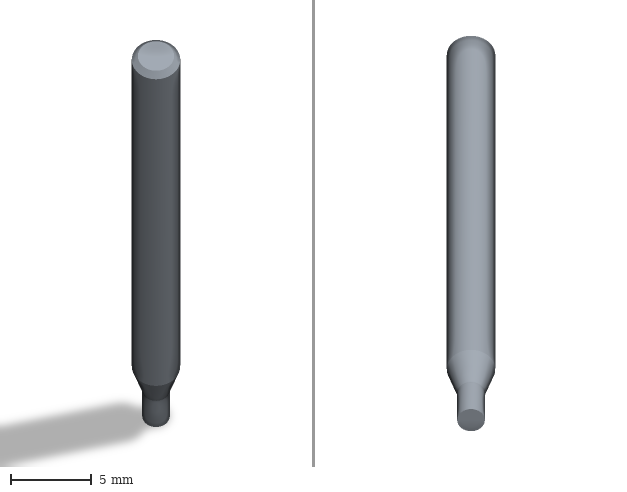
import cadquery as cq

total_length = 38.1
shank_diameter = 3.0
shank_end_chamfer = 0.4
cutter_diameter = 1.7
cutter_length = 2.63
neck_length = 0.15
taper_length = 2.48

shank_radius = shank_diameter / 2
cutter_radius = cutter_diameter / 2
neck_top = cutter_length + neck_length
taper_top = neck_top + taper_length


def make_cutter():
    """Plain cylindrical cutting end."""
    return cq.Workplane("XY").circle(cutter_radius).extrude(cutter_length)


def make_shank():
    """Revolved shank with a short neck as wide as the cutter, a taper and a chamfered far end."""
    half_profile = (
        cq.Workplane("XZ")
        .moveTo(0, cutter_length)
        .lineTo(cutter_radius, cutter_length)
        .lineTo(cutter_radius, neck_top)
        .lineTo(shank_radius, taper_top)
        .lineTo(shank_radius, total_length - shank_end_chamfer)
        .lineTo(shank_radius - shank_end_chamfer, total_length)
        .lineTo(0, total_length)
        .close()
    )
    return half_profile.revolve(360, (0, 0, 0), (0, 1, 0))


cutter = make_cutter()
shank = make_shank()

result = cq.Compound.makeCompound([cutter.val(), shank.val()])